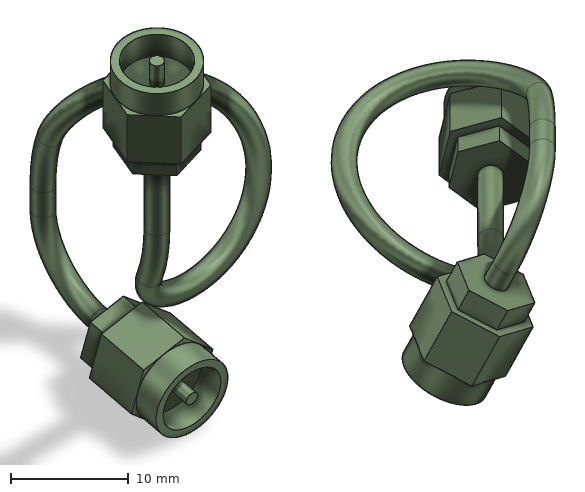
import cadquery as cq
import math

nut_flats = 8.0
nut_length = 5.65
ferrule_flats = 6.45
ferrule_length = 2.2
sleeve_diameter = 7.95
sleeve_length = 2.65
bore_diameter = 6.35
pin_diameter = 1.27
connector_length = ferrule_length + nut_length + sleeve_length

cable_diameter = 2.2
upper_lead = 9.45
lower_lead = 3.0
tail_length = 1.9
loop_diameter = 14.95
loop_pitch = 18.9
gentle_bend_radius = 18.95
elbow_radius = 7.5

tail_heading = 13.0
lower_roll = 13.0

loop_radius = loop_diameter / 2
helix_slope = math.atan(loop_pitch / (math.pi * loop_diameter))
bend_drop = gentle_bend_radius * math.sin(helix_slope)
bend_shift = gentle_bend_radius * (1 - math.cos(helix_slope))

tail_direction = cq.Vector(
    math.cos(math.radians(tail_heading)),
    math.sin(math.radians(tail_heading)),
    0,
)
down = cq.Vector(0, 0, -1)
cable_start = cq.Vector(0, 0, 0)
upper_bend_start = cable_start + down * upper_lead
loop_start = upper_bend_start + cq.Vector(-bend_shift, 0, -bend_drop)
loop_end = loop_start + cq.Vector(-loop_pitch, 0, 0)
lower_bend_end = loop_end + cq.Vector(-bend_shift, 0, -bend_drop)
elbow_start = lower_bend_end + down * lower_lead
elbow_end = elbow_start + (down + tail_direction) * elbow_radius
cable_end = elbow_end + tail_direction * tail_length


def make_loop():
    """One left-hand turn travelling toward -X, starting on the -Y side of the loop."""
    helix = cq.Wire.makeHelix(loop_pitch, loop_pitch, loop_radius, lefthand=True)
    loop_center = loop_start + cq.Vector(0, loop_radius, 0)
    loop_plane = cq.Plane(origin=loop_center, xDir=(0, -1, 0), normal=(-1, 0, 0))
    return helix.moved(cq.Location(loop_plane)).Edges()


def make_cable():
    loop_tangent = cq.Vector(-math.sin(helix_slope), 0, -math.cos(helix_slope))
    path = cq.Wire.assembleEdges([
        cq.Edge.makeLine(cable_start, upper_bend_start),
        cq.Edge.makeTangentArc(upper_bend_start, down, loop_start),
        *make_loop(),
        cq.Edge.makeTangentArc(loop_end, loop_tangent, lower_bend_end),
        cq.Edge.makeLine(lower_bend_end, elbow_start),
        cq.Edge.makeTangentArc(elbow_start, down, elbow_end),
        cq.Edge.makeLine(elbow_end, cable_end),
    ])
    return cq.Workplane("XY").circle(cable_diameter / 2).sweep(cq.Workplane(path), isFrenet=True)


def make_hexagon(plane, offset, flats, length):
    """Hexagonal prism with a corner on the plane's local X axis."""
    corner_diameter = flats / math.cos(math.radians(30))
    return cq.Workplane(plane).workplane(offset=offset).polygon(6, corner_diameter).extrude(length)


def make_connector(plane):
    """Connector along the plane's normal, with its cable-side face on the plane."""
    ferrule = make_hexagon(plane, 0, ferrule_flats, ferrule_length)
    nut = make_hexagon(plane, ferrule_length, nut_flats, nut_length)
    sleeve_base = cq.Workplane(plane).workplane(offset=connector_length - sleeve_length)
    sleeve = sleeve_base.circle(sleeve_diameter / 2).circle(bore_diameter / 2).extrude(sleeve_length)
    pin = sleeve_base.circle(pin_diameter / 2).extrude(sleeve_length)
    return ferrule.union(nut).union(sleeve).union(pin).val().Solids()[0]


tail_side = cq.Vector(0, 0, 1).cross(tail_direction)
roll = math.radians(lower_roll)
lower_corner = tail_side * math.cos(roll) + cq.Vector(0, 0, math.sin(roll))

cable = make_cable()
connector_planes = [
    cq.Plane(origin=cable_start, xDir=(1, 0, 0), normal=(0, 0, 1)),
    cq.Plane(origin=cable_end, xDir=lower_corner, normal=tail_direction),
]
connectors = [make_connector(plane) for plane in connector_planes]

result = cq.Compound.makeCompound([cable.val(), *connectors])